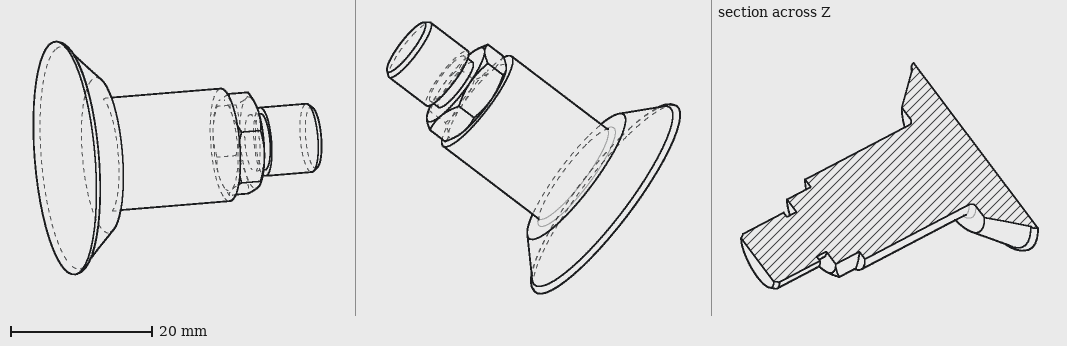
import cadquery as cq
import math


lip_height = 0.75
cup_height = 5.5
body_end = 23.55
hex_end = 27.5
neck_end = 29.05
overall_length = 36.5

lip_radius = 33.07 / 2
cone_base_radius = lip_radius - lip_height
cone_top_radius = cone_base_radius - (cup_height - lip_height)
body_radius = 16.0 / 2
neck_radius = 8.0 / 2
thread_radius = 9.73 / 2

hex_sides = 6
hex_across_flats = 13.0
hex_chamfer_angle = 30.0
root_fillet_radius = 0.7
thread_chamfer_length = 0.65
thread_chamfer_depth = 0.5


def revolve_about_y(profile):
    """Revolve a closed half profile, drawn in XY, fully around the Y axis."""
    return profile.revolve(360, (0, 0, 0), (0, 1, 0))


def make_cup():
    """Conical cup with a rounded sealing lip and a filleted cylindrical body."""
    lip_offset = lip_height * (1 - math.sqrt(0.5))
    root_offset = root_fillet_radius * (1 - math.sqrt(0.5))
    profile = (
        cq.Workplane("XY")
        .lineTo(lip_radius, 0)
        .threePointArc(
            (lip_radius - lip_offset, lip_height - lip_offset),
            (cone_base_radius, lip_height),
        )
        .lineTo(cone_top_radius, cup_height)
        .lineTo(body_radius + root_fillet_radius, cup_height)
        .threePointArc(
            (body_radius + root_offset, cup_height + root_offset),
            (body_radius, cup_height + root_fillet_radius),
        )
        .lineTo(body_radius, body_end)
        .lineTo(0, body_end)
        .close()
    )
    return revolve_about_y(profile)


def make_hexagon():
    """Hexagon with flats facing +X and -X and both ends chamfered by cones."""
    hex_height = hex_end - body_end
    half_side_angle = 180 / hex_sides
    flat_radius = hex_across_flats / 2
    corner_radius = flat_radius / math.cos(math.radians(half_side_angle))
    chamfer_depth = corner_radius - flat_radius
    chamfer_length = chamfer_depth * math.tan(math.radians(hex_chamfer_angle))
    prism = (
        cq.Workplane("XZ", origin=(0, body_end, 0))
        .polygon(hex_sides, 2 * corner_radius)
        .extrude(-hex_height)
        .rotate((0, 0, 0), (0, 1, 0), half_side_angle)
    )
    envelope = revolve_about_y(
        cq.Workplane("XY")
        .moveTo(0, body_end)
        .lineTo(flat_radius, body_end)
        .lineTo(corner_radius, body_end + chamfer_length)
        .lineTo(corner_radius, hex_end - chamfer_length)
        .lineTo(flat_radius, hex_end)
        .lineTo(0, hex_end)
        .close()
    )
    return prism.intersect(envelope)


def make_connector():
    """Undercut neck followed by the plain thread cylinder with a chamfered end."""
    profile = (
        cq.Workplane("XY")
        .moveTo(0, hex_end)
        .lineTo(neck_radius, hex_end)
        .lineTo(neck_radius, neck_end)
        .lineTo(thread_radius, neck_end)
        .lineTo(thread_radius, overall_length - thread_chamfer_length)
        .lineTo(thread_radius - thread_chamfer_depth, overall_length)
        .lineTo(0, overall_length)
        .close()
    )
    return revolve_about_y(profile)


result = make_cup().union(make_hexagon()).union(make_connector())